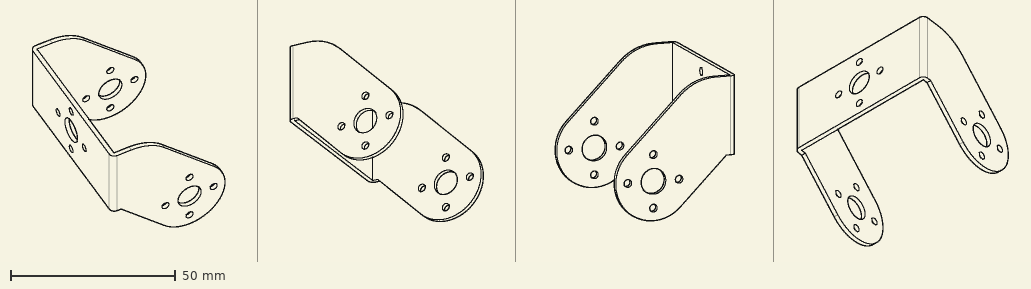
import cadquery as cq
import math

width = 52.2
depth = 39.25
height = 43.3
thickness = 1.5
bend_radius = 1.8

web_height = 24.65
end_radius = web_height / 2
shoulder_radius = 16.0

center_hole_diameter = 8.0
screw_hole_diameter = 2.4
screw_offset = 8.35

web_bottom = height - web_height
web_center_z = height - web_height / 2
end_y = depth - end_radius
end_z = end_radius
diagonal = math.sqrt(0.5)


def point_on_circle(center_y, center_z, radius, angle):
    """Return the (y, z) point at an angle in degrees from +Y."""
    turn = math.radians(angle)
    return (center_y + radius * math.cos(turn), center_z + radius * math.sin(turn))


def side_blank():
    """Side outline, extruded over the full width."""
    upper_tangent = point_on_circle(end_y, end_z, end_radius, 45)
    lower_tangent = point_on_circle(end_y, end_z, end_radius, 225)
    end_middle = point_on_circle(end_y, end_z, end_radius, -45)

    shoulder_z = height - shoulder_radius
    slope_sum = sum(upper_tangent)
    shoulder_y = slope_sum - shoulder_z - shoulder_radius / diagonal
    shoulder_middle = point_on_circle(shoulder_y, shoulder_z, shoulder_radius, 67.5)
    shoulder_end = point_on_circle(shoulder_y, shoulder_z, shoulder_radius, 45)

    notch_y = sum(lower_tangent) - web_bottom

    return (
        cq.Workplane("YZ", origin=(-width / 2, 0, 0))
        .moveTo(0, web_bottom)
        .lineTo(0, height)
        .lineTo(shoulder_y, height)
        .threePointArc(shoulder_middle, shoulder_end)
        .lineTo(*upper_tangent)
        .threePointArc(end_middle, lower_tangent)
        .lineTo(notch_y, web_bottom)
        .close()
        .extrude(width)
    )


def channel():
    """U-shaped sheet section with rounded outer bends, over the full height."""
    outer = (
        cq.Workplane("XY")
        .box(width, depth, height, centered=(True, False, False))
        .edges("|Z and <Y")
        .fillet(bend_radius)
    )
    inner = (
        cq.Workplane("XY")
        .box(width - 2 * thickness, depth, height, centered=(True, False, False))
        .translate((0, thickness, 0))
    )
    return outer.cut(inner)


def hole_pattern(plane, length):
    """Cutters for a center hole and four screw holes, centered along the plane normal."""
    center_hole = plane.circle(center_hole_diameter / 2).extrude(length / 2, both=True)
    screw_holes = (
        plane.polarArray(screw_offset, 0, 360, 4)
        .circle(screw_hole_diameter / 2)
        .extrude(length / 2, both=True)
    )
    return center_hole.union(screw_holes)


arm_holes = hole_pattern(cq.Workplane("YZ", origin=(0, end_y, end_z)), 2 * width)
web_holes = hole_pattern(cq.Workplane("XZ", origin=(0, 0, web_center_z)), 4 * thickness)

result = channel().intersect(side_blank()).cut(arm_holes).cut(web_holes)